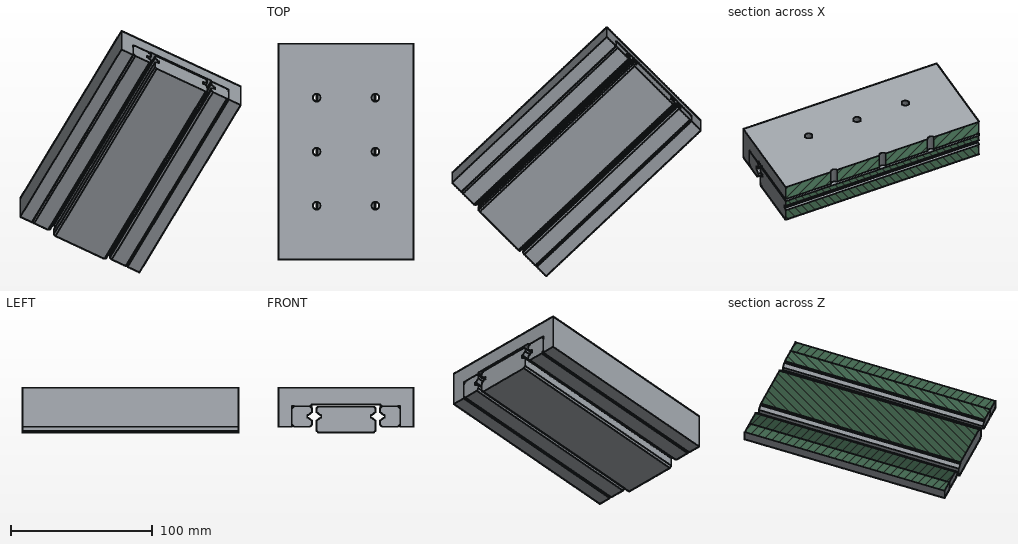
import cadquery as cq

length = 152.4
total_height = 31.7

carriage_width = 95.2
carriage_bottom = 4.1
channel_width = 76.2
relief_width = 48.5
relief_depth = 1.0

hole_diameter = 5.3
hole_spacing_x = 41.3
hole_spacing_y = 38.1
hole_columns = 2
hole_rows = 3

side_rail_height = 14.6
side_rail_chamfer = 1.5
centre_rail_width = 41.8
centre_rail_height = 18.3
centre_rail_top_chamfer = 1.0
centre_rail_bottom_chamfer = 1.4
rail_gap = 3.0

raceway_z = 11.5
vee_half_opening = 3.0
root_half_width = 0.9
raceway_depth = 3.4
vee_depth = 2.6

channel_top = carriage_bottom + side_rail_height
side_rail_outer_x = channel_width / 2
side_rail_inner_x = centre_rail_width / 2 + rail_gap


def extrude_along_slide(points):
    """Extrude a closed XZ outline over the full length, centred on Y = 0."""
    return cq.Workplane("XZ").polyline(points).close().extrude(length / 2, both=True)


def cut_raceway(rail, face_x, inward):
    """Cut the raceway into the rail face at face_x; inward is the X sign into the rail."""
    vee_x = face_x + inward * vee_depth
    root_x = face_x + inward * raceway_depth
    raceway = extrude_along_slide([
        (face_x, raceway_z + vee_half_opening),
        (vee_x, raceway_z + root_half_width),
        (root_x, raceway_z + root_half_width),
        (root_x, raceway_z - root_half_width),
        (vee_x, raceway_z - root_half_width),
        (face_x, raceway_z - vee_half_opening),
    ])
    return rail.cut(raceway)


def make_carriage():
    outer_x = carriage_width / 2
    wall_x = channel_width / 2
    relief_x = relief_width / 2
    relief_top = channel_top + relief_depth
    carriage = extrude_along_slide([
        (-outer_x, carriage_bottom),
        (-outer_x, total_height),
        (outer_x, total_height),
        (outer_x, carriage_bottom),
        (wall_x, carriage_bottom),
        (wall_x, channel_top),
        (relief_x, channel_top),
        (relief_x, relief_top),
        (-relief_x, relief_top),
        (-relief_x, channel_top),
        (-wall_x, channel_top),
        (-wall_x, carriage_bottom),
    ])
    holes = (
        cq.Workplane("XY")
        .rarray(hole_spacing_x, hole_spacing_y, hole_columns, hole_rows)
        .circle(hole_diameter / 2)
        .extrude(total_height)
    )
    return carriage.cut(holes)


def make_side_rail(side):
    """Side rail seated in the channel corner; side is -1 or +1 along X."""
    outer = side * side_rail_outer_x
    inner = side * side_rail_inner_x
    chamfer = side_rail_chamfer
    rail = extrude_along_slide([
        (outer, carriage_bottom + chamfer),
        (outer, channel_top - chamfer),
        (outer - side * chamfer, channel_top),
        (inner + side * chamfer, channel_top),
        (inner, channel_top - chamfer),
        (inner, carriage_bottom + chamfer),
        (inner + side * chamfer, carriage_bottom),
        (outer - side * chamfer, carriage_bottom),
    ])
    return cut_raceway(rail, inner, side)


def make_centre_rail():
    half_width = centre_rail_width / 2
    rail = (
        cq.Workplane("XY")
        .box(centre_rail_width, length, centre_rail_height, centered=(True, True, False))
        .edges("|Y and >Z")
        .chamfer(centre_rail_top_chamfer)
        .edges("|Y and <Z")
        .chamfer(centre_rail_bottom_chamfer)
    )
    for side in (-1, 1):
        rail = cut_raceway(rail, side * half_width, -side)
    return rail


carriage = make_carriage()
centre_rail = make_centre_rail()
side_rails = [make_side_rail(side).val() for side in (-1, 1)]

result = cq.Compound.makeCompound([carriage.val(), centre_rail.val(), *side_rails])